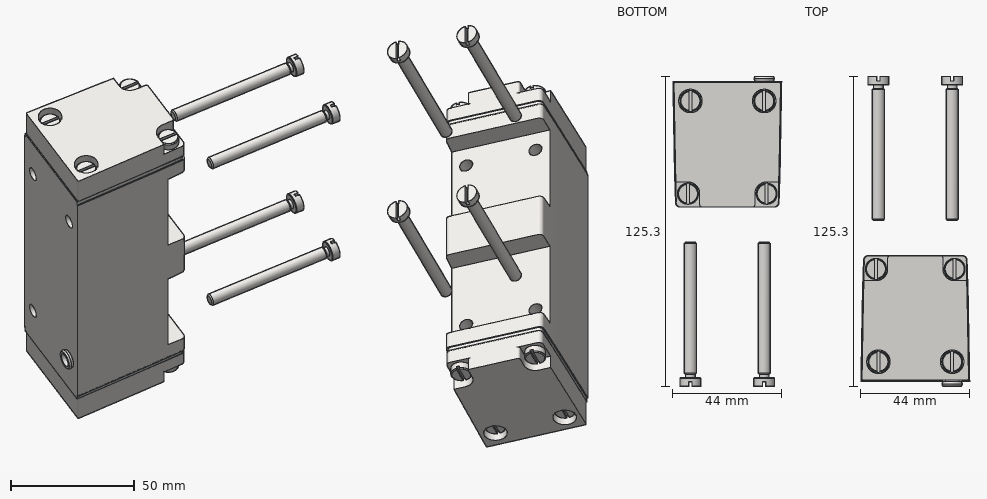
import cadquery as cq


length = 142.0
front_width = 44.0
seam_width = 42.7
back_width = 41.7
cap_back_width = 41.3
depth = 50.8
seam_y = 36.0
corner_radius = 2.0

cap_height = 12.0
gasket_height = 1.8
step = 0.5
cap_edge_radius = 0.5
core_length = length - 2 * (cap_height + gasket_height)

notch_depth = 8.4
notch_inner_z = 10.2
notch_outer_z = 49.4
notch_flare = 0.4

screw_x = 14.9
screw_z = 40.9
hole_diameter = 5.5
shank_diameter = 5.0
neck_diameter = 4.0
head_diameter = 8.5
head_height = 3.5
head_chamfer = 0.3
neck_length = 1.3
shank_chamfer = (shank_diameter - neck_diameter) / 2
shank_chamfer_length = 0.5
slot_width = 1.2
slot_depth = 1.8
screw_tip_y = 65.0
screw_end_y = 123.3
screw_length = screw_end_y - screw_tip_y

spigot_height = 2.0
spigot_diameter = 8.4
spigot_end_diameter = 7.5
spigot_ridge_height = 1.1

pocket_diameter = 9.5
pocket_depth = 5.8
pocket_mouth_radius = 1.0
front_cap_screw = (14.9, 8.0)
back_cap_screw = (15.9, 45.5)
cap_head_diameter = 8.5
cap_head_height = 3.3
cap_head_chamfer = 0.4
cap_slot_depth = 1.3

overshoot = 1.4


def rounded_prism(half_outline, height):
    """Prism centred on Z = 0 from the +X half of its outline, with rounded long edges at the back."""
    other_half = [(-x, y) for x, y in reversed(half_outline)]
    prism = cq.Workplane("XY").polyline(half_outline + other_half).close().extrude(height / 2, both=True)
    return prism.edges("|Z and >Y").fillet(corner_radius)


def drafted_block(height, inset):
    """Core section, set back from the sides and the back; the draft steepens behind the seam."""
    half_outline = [
        (front_width / 2 - inset, 0),
        (seam_width / 2 - inset, seam_y),
        (back_width / 2 - inset, depth - inset),
    ]
    return rounded_prism(half_outline, height)


def cap_block():
    """Plain end cap, set back from the front and the sides, with an even draft."""
    half_outline = [
        (front_width / 2 - step, step),
        (cap_back_width / 2, depth),
    ]
    return rounded_prism(half_outline, cap_height).edges("|Z and <Y").fillet(cap_edge_radius)


def notch(direction):
    """Cutter for the notch above (+1) or below (-1) mid-height; its walls flare to the back."""
    floor_y = depth - notch_depth
    flare = notch_flare * (notch_depth + overshoot) / notch_depth
    profile = [
        (floor_y, direction * notch_inner_z),
        (floor_y, direction * notch_outer_z),
        (depth + overshoot, direction * (notch_outer_z + flare)),
        (depth + overshoot, direction * (notch_inner_z - flare)),
    ]
    return cq.Workplane("YZ").polyline(profile).close().extrude(front_width, both=True)


def round_pocket(x, y):
    """Pocket for a cap screw, sunk into the top of the cap."""
    pocket = cq.Workplane("XY").circle(pocket_diameter / 2).extrude(pocket_depth + overshoot)
    return pocket.translate((x, y, length / 2 - pocket_depth))


def corner_pocket():
    """Pocket on the +X back corner, opened out tangentially to the side and to the back."""
    x, y = back_cap_screw
    radius = pocket_diameter / 2
    height = pocket_depth + overshoot
    floor_z = length / 2 - pocket_depth
    reach_x = front_width / 2 + overshoot
    reach_y = depth + overshoot
    return (
        cq.Workplane("XY", origin=(0, 0, floor_z))
        .moveTo(x - radius, y)
        .radiusArc((x, y - radius), -radius)
        .lineTo(reach_x, y - radius)
        .lineTo(reach_x, reach_y)
        .lineTo(x - radius - pocket_mouth_radius, reach_y)
        .lineTo(x - radius - pocket_mouth_radius, depth)
        .radiusArc((x - radius, depth - pocket_mouth_radius), pocket_mouth_radius)
        .close()
        .extrude(height)
    )


def cap_screw_head(x, y):
    """Slotted head standing on the floor of its pocket."""
    head = (
        cq.Workplane("XY")
        .circle(cap_head_diameter / 2)
        .extrude(cap_head_height)
        .faces(">Z")
        .chamfer(cap_head_chamfer)
    )
    slot = (
        cq.Workplane("XY", origin=(0, 0, cap_head_height - cap_slot_depth))
        .rect(slot_width, 2 * cap_head_diameter)
        .extrude(cap_slot_depth + overshoot)
    )
    return head.cut(slot).translate((x, y, length / 2 - pocket_depth))


def make_end_cap():
    """The upper end cap with its four screws."""
    cap_z = (length - cap_height) / 2
    cap = cap_block().translate((0, 0, cap_z))
    cap = cap.cut(corner_pocket()).cut(corner_pocket().mirror("YZ"))
    for side in (-1, 1):
        cap = cap.cut(round_pocket(side * front_cap_screw[0], front_cap_screw[1]))
        for x, y in (front_cap_screw, back_cap_screw):
            cap = cap.union(cap_screw_head(side * x, y))
    return cap


def make_spigot():
    """Ridged ring around a through hole, standing out of the mounting face."""
    profile = [
        (0, 0),
        (spigot_end_diameter / 2, 0),
        (spigot_diameter / 2, -spigot_ridge_height),
        (spigot_end_diameter / 2, -spigot_height),
        (0, -spigot_height),
    ]
    ring = cq.Workplane("XY").polyline(profile).close().revolve(360, (0, 0, 0), (0, 1, 0))
    return ring.translate((screw_x, 0, -screw_z))


def make_housing():
    """One solid of core, gaskets, end caps and spigot, with four through holes along Y."""
    core = drafted_block(core_length, 0)
    for direction in (-1, 1):
        core = core.cut(notch(direction))
    gaskets = drafted_block(core_length + 2 * gasket_height, step)
    cap = make_end_cap()
    housing = core.union(gaskets.cut(notch(1)).cut(notch(-1)))
    housing = housing.union(cap).union(cap.mirror("XY")).union(make_spigot())
    holes = (
        cq.Workplane("XZ", origin=(0, -spigot_height - overshoot, 0))
        .rect(2 * screw_x, 2 * screw_z, forConstruction=True)
        .vertices()
        .circle(hole_diameter / 2)
        .extrude(-(depth + spigot_height + 2 * overshoot))
    )
    return housing.cut(holes)


def make_screw():
    """Slotted mounting screw along Y, tip at Y = 0 and head towards +Y."""
    shank = shank_diameter / 2
    neck = neck_diameter / 2
    head = head_diameter / 2
    head_y = screw_length - head_height
    shank_end_y = head_y - neck_length
    profile = [
        (0, 0),
        (shank - shank_chamfer, 0),
        (shank, shank_chamfer_length),
        (shank, shank_end_y - shank_chamfer_length),
        (neck, shank_end_y),
        (neck, head_y),
        (head - head_chamfer, head_y),
        (head, head_y + head_chamfer),
        (head, screw_length),
        (0, screw_length),
    ]
    screw = cq.Workplane("XY").polyline(profile).close().revolve(360, (0, 0, 0), (0, 1, 0))
    slot = cq.Workplane("XY").box(slot_width, 2 * slot_depth, 2 * head_diameter)
    return screw.cut(slot.translate((0, screw_length, 0)))


housing = make_housing()

screws = []
for side in (-1, 1):
    for level in (-1, 1):
        place = (side * screw_x, screw_tip_y, level * screw_z)
        screws.append(make_screw().translate(place).val())

result = cq.Compound.makeCompound([housing.val(), *screws])